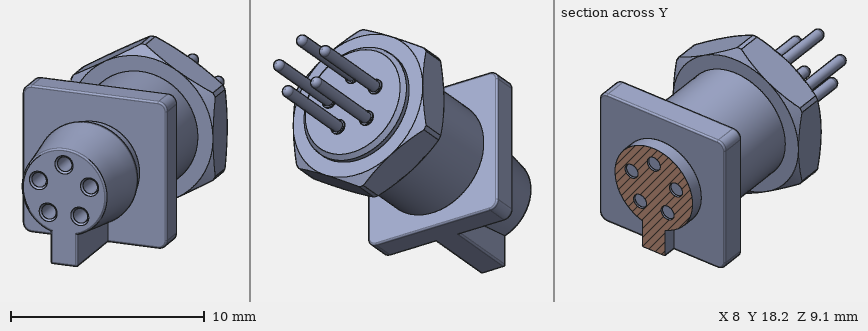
import cadquery as cq
import math

length = 18.2
front = -length / 2
back = length / 2

flange_front = front + 4.28
flange_back = flange_front + 1.44
nut_front = front + 10.7
nut_back = nut_front + 2.0
body_back = front + 13.2

body_radius = 3.17
body_chamfer = 0.24
flange_side = 8.0
flange_corner_radius = 0.5
edge_round = 0.1

nut_flats = 8.0
nut_corner_diameter = 9.1
nut_bevel_angle = 30.0

neck_radius = 2.5
step_radius = 2.58
step_y = front + 3.53
shoulder_radius = 2.8
shoulder_y = step_y - (shoulder_radius - step_radius)
shoulder_round = 0.3
tip_radius = 2.35

key_width = 1.5

contact_count = 5
contact_circle_radius = 1.5
hole_radius = 0.4
hole_depth = 3.64
pin_radius = 0.31
pin_tip_round = 0.3
collar_radius = 0.4
collar_length = 0.1


def plane_at(y):
    """XZ work plane at the given Y whose extrusions run toward +Y; local X is +X, local Y is -Z."""
    return cq.Workplane(cq.Plane(origin=(0, y, 0), xDir=(1, 0, 0), normal=(0, 1, 0)))


def revolve_about_y(points):
    """Revolve a closed (radius, y) outline about the Y axis."""
    return cq.Workplane("XY").polyline(points).close().revolve(360, (0, 0, 0), (0, 1, 0))


def contact_points():
    """Contact centres on the contact circle, the first straight up (local Y points down)."""
    angles = [math.radians(360 * i / contact_count) for i in range(contact_count)]
    return [(contact_circle_radius * math.sin(a), -contact_circle_radius * math.cos(a)) for a in angles]


def make_body():
    body = plane_at(flange_back).circle(body_radius).extrude(body_back - flange_back)
    return body.faces(">Y").chamfer(body_chamfer)


def make_flange():
    flange = plane_at(flange_front).rect(flange_side, flange_side).extrude(flange_back - flange_front)
    flange = flange.edges("|Y").fillet(flange_corner_radius)
    return flange.faces("<Y or >Y").edges().fillet(edge_round)


def make_nut():
    """Hexagon with corners up and down, bevelled on both faces down to the flats' inscribed circle."""
    hexagon_diameter = nut_flats / math.cos(math.radians(30))
    hexagon = (
        plane_at(nut_front)
        .transformed(rotate=(0, 0, 90))
        .polygon(6, hexagon_diameter)
        .extrude(nut_back - nut_front)
    )
    face_radius = nut_flats / 2
    corner_radius = nut_corner_diameter / 2
    bevel_depth = (corner_radius - face_radius) * math.tan(math.radians(nut_bevel_angle))
    turned_blank = revolve_about_y([
        (0, nut_front),
        (face_radius, nut_front),
        (corner_radius, nut_front + bevel_depth),
        (corner_radius, nut_back - bevel_depth),
        (face_radius, nut_back),
        (0, nut_back),
    ])
    return hexagon.intersect(turned_blank)


def make_socket():
    """Tapered head, neck and key rib, with the outline of the joint front face rounded."""
    head = revolve_about_y([
        (0, front),
        (tip_radius, front),
        (shoulder_radius, shoulder_y),
        (step_radius, step_y),
        (neck_radius, step_y),
        (neck_radius, flange_back),
        (0, flange_back),
    ])
    shoulder_edge = cq.selectors.BoxSelector(
        (-length, shoulder_y - edge_round, -length),
        (length, shoulder_y + edge_round, length),
    )
    head = head.edges(shoulder_edge).edges("%CIRCLE").fillet(shoulder_round)
    key_height = flange_side / 2
    key = (
        plane_at(front)
        .center(0, key_height / 2)
        .rect(key_width, key_height)
        .extrude(flange_back - edge_round - front)
        .faces("<Z")
        .edges("|Y")
        .fillet(edge_round)
    )
    return head.union(key).faces("<Y").edges().fillet(edge_round)


def make_pins():
    pins = plane_at(body_back).pushPoints(contact_points()).circle(pin_radius).extrude(back - body_back)
    pins = pins.faces(">Y").edges().fillet(pin_tip_round)
    collars = plane_at(body_back).pushPoints(contact_points()).circle(collar_radius).extrude(collar_length)
    return pins.union(collars)


def make_contact_holes():
    """Blind holes to remove from the tip, each with a bevelled rim."""
    rim_radius = hole_radius + edge_round
    hole = revolve_about_y([
        (0, front),
        (rim_radius, front),
        (hole_radius, front + edge_round),
        (hole_radius, front + hole_depth),
        (0, front + hole_depth),
    ])
    holes = cq.Workplane("XY")
    for x, down in contact_points():
        holes = holes.add(hole.translate((x, 0, -down)))
    return holes.combine()


result = (
    make_body()
    .union(make_flange())
    .union(make_nut())
    .union(make_socket())
    .union(make_pins())
    .cut(make_contact_holes())
)